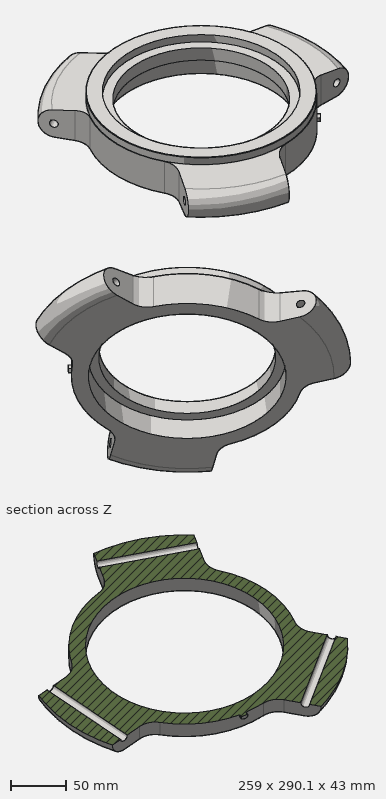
import cadquery as cq
import math

BODY_RADIUS = 105.0
FLANGE_RADIUS = 209.0 / 2
TOTAL_HEIGHT = 43.0
FLANGE_THICKNESS = 8.0
FLANGE_EDGE_CHAMFER = 0.5
BODY_HEIGHT = TOTAL_HEIGHT - FLANGE_THICKNESS

BORE_RADIUS = 160.0 / 2
RECESS_RADIUS = 179.0 / 2
TOP_RECESS_DEPTH = 8.0
BOTTOM_RECESS_DEPTH = 21.5

ARM_COUNT = 3
FIRST_ARM_ANGLE = 60.0
ARM_TIP_RADIUS = 148.0
ARM_WIDTH = 94.25
ARM_NOSE_RADIUS = 15.0
ARM_ROOT_FILLET = 20.0
PIN_HOLE_DIAMETER = 8.0

HEX_ANGLE = 15.0
HEX_ACROSS_FLATS = 7.0
HEX_PROTRUSION = 3.0
HEX_EMBEDMENT = 2.0
HEX_CORNER_DIAMETER = HEX_ACROSS_FLATS / math.cos(math.radians(30))
HEX_CENTRE_HEIGHT = ARM_NOSE_RADIUS

ARM_HALF_WIDTH = ARM_WIDTH / 2
NOSE_CENTRE_RADIUS = ARM_TIP_RADIUS - ARM_NOSE_RADIUS


def disc(radius, bottom, top):
    return cq.Workplane("XY").workplane(offset=bottom).circle(radius).extrude(top - bottom)


def turned_about_z(shape, angle):
    return shape.rotate((0, 0, 0), (0, 0, 1), angle)


def arm_envelope():
    """Revolved body: its conical top falls from the body edge and runs tangent into a rounded rim."""
    run = NOSE_CENTRE_RADIUS - BODY_RADIUS
    drop = BODY_HEIGHT - ARM_NOSE_RADIUS
    slope = math.atan2(drop, run) - math.asin(ARM_NOSE_RADIUS / math.hypot(run, drop))
    tangent_radius = NOSE_CENTRE_RADIUS + ARM_NOSE_RADIUS * math.sin(slope)
    tangent_height = ARM_NOSE_RADIUS * (1 + math.cos(slope))
    return (
        cq.Workplane("XZ")
        .lineTo(NOSE_CENTRE_RADIUS, 0)
        .threePointArc((ARM_TIP_RADIUS, ARM_NOSE_RADIUS), (tangent_radius, tangent_height))
        .lineTo(BODY_RADIUS, BODY_HEIGHT)
        .lineTo(0, BODY_HEIGHT)
        .close()
        .revolve(360, (0, 0, 0), (0, 1, 0))
    )


def root_fillet(side):
    """Web with a concave edge, tangent to the body and to one flank (side = 1 or -1) of an arm along +X."""
    centre_y = ARM_HALF_WIDTH + ARM_ROOT_FILLET
    centre_x = math.sqrt((BODY_RADIUS + ARM_ROOT_FILLET) ** 2 - centre_y**2)
    web = (
        cq.Workplane("XY")
        .lineTo(centre_x, 0)
        .lineTo(centre_x, side * centre_y)
        .close()
        .extrude(BODY_HEIGHT)
    )
    relief = disc(ARM_ROOT_FILLET, 0, BODY_HEIGHT).translate((centre_x, side * centre_y, 0))
    return web.cut(relief)


def pin_hole():
    """Straight cross hole through an arm along +X, concentric in height with the nose."""
    flank_tip_x = math.sqrt(ARM_TIP_RADIUS**2 - ARM_HALF_WIDTH**2)
    return (
        cq.Workplane("XZ")
        .center(flank_tip_x - ARM_NOSE_RADIUS, ARM_NOSE_RADIUS)
        .circle(PIN_HOLE_DIAMETER / 2)
        .extrude(ARM_HALF_WIDTH, both=True)
    )


def arm():
    """Arm along +X, reaching in to the axis so that it merges with the body."""
    bar = cq.Workplane("XY").box(ARM_TIP_RADIUS, ARM_WIDTH, BODY_HEIGHT, centered=(False, True, False))
    outline = bar.union(root_fillet(1)).union(root_fillet(-1))
    return outline.intersect(arm_envelope()).cut(pin_hole())


def flange():
    ring = disc(FLANGE_RADIUS, BODY_HEIGHT, TOTAL_HEIGHT)
    return ring.faces(">Z").edges().chamfer(FLANGE_EDGE_CHAMFER)


def hex_boss():
    """Hexagonal prism standing radially out of the body wall."""
    boss = (
        cq.Workplane("YZ")
        .workplane(offset=BODY_RADIUS - HEX_EMBEDMENT)
        .polygon(6, HEX_CORNER_DIAMETER)
        .extrude(HEX_EMBEDMENT + HEX_PROTRUSION)
        .rotate((0, 0, 0), (1, 0, 0), 90)
        .translate((0, 0, HEX_CENTRE_HEIGHT))
    )
    return turned_about_z(boss, HEX_ANGLE)


def stepped_bore():
    bore = disc(BORE_RADIUS, 0, TOTAL_HEIGHT)
    top_recess = disc(RECESS_RADIUS, TOTAL_HEIGHT - TOP_RECESS_DEPTH, TOTAL_HEIGHT)
    bottom_recess = disc(RECESS_RADIUS, 0, BOTTOM_RECESS_DEPTH)
    return bore.union(top_recess).union(bottom_recess)


def build_part():
    part = disc(BODY_RADIUS, 0, BODY_HEIGHT)
    for index in range(ARM_COUNT):
        part = part.union(turned_about_z(arm(), FIRST_ARM_ANGLE + index * 360 / ARM_COUNT))
    part = part.union(flange())
    part = part.union(hex_boss())
    return part.cut(stepped_bore())


result = build_part()